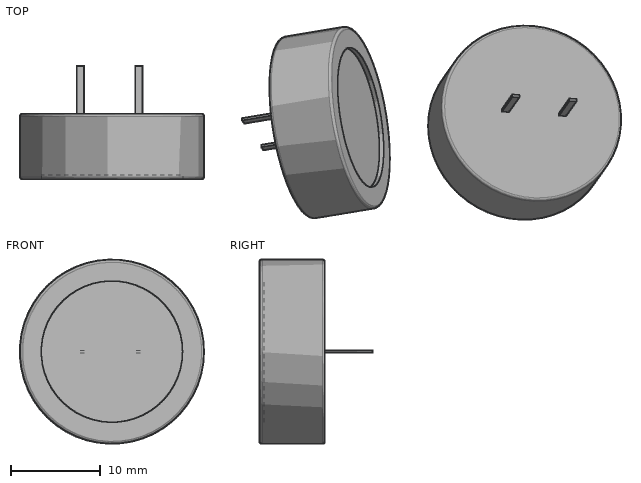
import cadquery as cq

body_diameter = 20.5
body_depth = 7.3
edge_radius = 0.3

recess_diameter = 15.7
recess_depth = 0.5

overall_depth = 12.6
pin_length = overall_depth - body_depth
wire_diameter = 0.85
pin_thickness = 0.3
pin_pitch = 6.5
pin_pair_offset = -0.25

front_y = -body_depth / 2
back_y = body_depth / 2


def disc(diameter, start_y, depth):
    """Cylinder along +Y, starting at start_y."""
    plane = cq.Workplane("XZ", origin=(0, start_y, 0))
    return plane.circle(diameter / 2).extrude(-depth)


def make_body():
    """Disc with rounded rims and the front recess."""
    body = disc(body_diameter, front_y, body_depth).edges().fillet(edge_radius)
    return body.cut(disc(recess_diameter, front_y, recess_depth))


def make_pin(center_x):
    """Round wire flattened to a strip: flat above and below, slightly bulged sides."""
    plane = cq.Workplane("XZ", origin=(center_x, back_y, 0))
    wire = plane.circle(wire_diameter / 2).extrude(-pin_length)
    strip = plane.rect(wire_diameter, pin_thickness).extrude(-pin_length)
    return wire.intersect(strip)


result = make_body()
for side in (-1, 1):
    result = result.union(make_pin(pin_pair_offset + side * pin_pitch / 2))